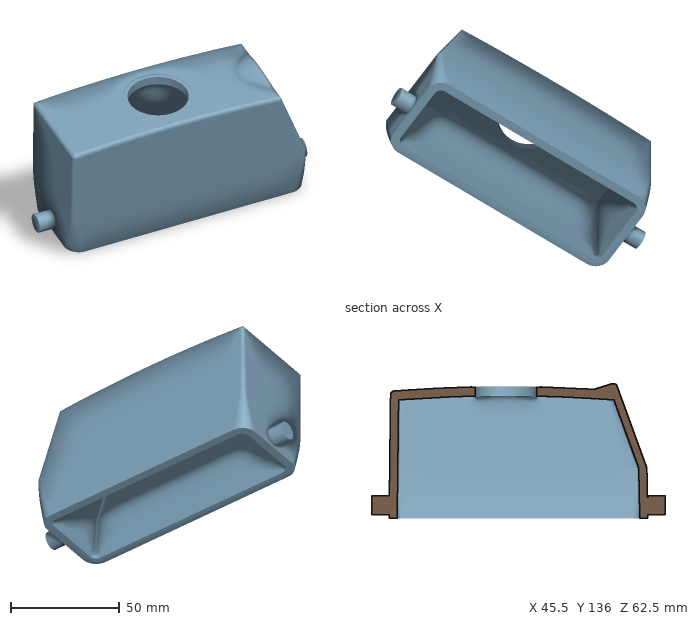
import cadquery as cq
import math

max_width = 45.5
rim_width = 42.8
rim_half_length = 60.0
shoulder_half_length = 59.5
shoulder_height = 23.3
flare_height = 7.0
front_draft_angle = 0.7
slope_angle = 20.0
rim_corner_radius = 7.4
shoulder_corner_radius = 2.0
top_corner_radius = 1.3
section_slab = 1.0
curve_sections = 5

crown_height = 61.15
crown_radius = 650.0
roof_fillet = 2.0
roof_edge_band = 5.0
loft_height = 63.2

wall_thickness = 4.0
roof_thickness = 4.5
least_corner_radius = 1.0

entry_y = -5.8
entry_diameter = 28.3
seat_diameter = 32.0
seat_depth = 0.3

pin_diameter = 9.0
pin_height = 6.1
pin_span = 136.0
pin_root = 2.0

total_height = 62.52
tab_radius = 28.0
tab_length = 14.0
tab_draft = -3.0
tab_edge_loss = 0.47
tab_root_fillet = 2.0

slope_rate = math.tan(math.radians(slope_angle))
draft_rate = math.tan(math.radians(front_draft_angle))


def inset_share(z):
    """Share of the rim inset at height z: a straight flare that runs into a parabola."""
    curve_span = shoulder_height - flare_height
    full_inset = curve_span / 2 + flare_height
    if z < flare_height:
        return (full_inset - z) / full_inset
    return (shoulder_height - z) ** 2 / (2 * curve_span) / full_inset


def section(z, wall, rounded=True):
    """Rectangular section at height z, moved inward by wall."""
    front = -rim_half_length + draft_rate * z + wall
    if z > shoulder_height:
        back = shoulder_half_length - slope_rate * (z - shoulder_height) - wall
        width = max_width
        share = (z - shoulder_height) / (loft_height - shoulder_height)
        radius = shoulder_corner_radius + share * (top_corner_radius - shoulder_corner_radius)
    else:
        back = rim_half_length - (rim_half_length - shoulder_half_length) * z / shoulder_height - wall
        share = inset_share(z)
        width = max_width - share * (max_width - rim_width)
        radius = shoulder_corner_radius + share * (rim_corner_radius - shoulder_corner_radius)
    slab = (
        cq.Workplane("XY", origin=(0, (front + back) / 2, z))
        .rect(width - 2 * wall, back - front)
        .extrude(section_slab)
    )
    if rounded:
        slab = slab.edges("|Z").fillet(max(radius - wall, least_corner_radius))
    return slab.faces("<Z").wires().val()


def loft(heights, wall, ruled=True, rounded=True):
    """Solid through the sections at the given heights."""
    wires = [section(z, wall, rounded) for z in heights]
    return cq.Workplane(cq.Solid.makeLoft(wires, ruled))


def crown(drop):
    """Long cylinder along X whose crest is the roof surface lowered by drop."""
    return (
        cq.Workplane("YZ", origin=(-max_width, entry_y, crown_height - drop - crown_radius))
        .circle(crown_radius)
        .extrude(2 * max_width)
    )


def lower_body(wall):
    """Flared part between the rim and the shoulder."""
    step = (shoulder_height - flare_height) / (curve_sections - 1)
    curve_heights = [flare_height + i * step for i in range(curve_sections)]
    flare = loft([0, flare_height], wall)
    return flare.union(loft(curve_heights, wall, ruled=False))


def thumb_tab():
    """Round tab, square to the sloped end wall and flush with it."""
    tilt = math.radians(slope_angle)
    top = total_height + tab_edge_loss
    face = cq.Plane(
        origin=(0, shoulder_half_length - slope_rate * (top - shoulder_height), top),
        xDir=(1, 0, 0),
        normal=(0, -math.cos(tilt), -math.sin(tilt)),
    )
    disc = cq.Workplane(face).center(0, -tab_radius).circle(tab_radius).extrude(tab_length, taper=tab_draft)
    buried_height = crown_height - roof_thickness
    above_cavity = (
        cq.Workplane("XY", origin=(0, 0, buried_height))
        .rect(2 * max_width, 2 * rim_half_length)
        .extrude(total_height)
    )
    return disc.intersect(above_cavity)


def upper_outside():
    """Upright part with the thumb tab, its roof rim and upright corners rounded."""
    heights = [shoulder_height, loft_height]
    body = loft(heights, 0, rounded=False).intersect(crown(0)).union(thumb_tab())
    roof_edges = cq.selectors.BoxSelector(
        (-max_width, -2 * rim_half_length, crown_height - roof_edge_band),
        (max_width, 2 * rim_half_length, total_height),
    )
    outer_walls = "<X or >X or <Y or >Y"
    rim_edges = body.faces(outer_walls).edges().vals()
    tab_root = [edge for edge in body.edges().vals() if edge not in rim_edges]
    body = body.newObject(tab_root).fillet(tab_root_fillet)
    body = body.faces(outer_walls).edges(roof_edges).fillet(roof_fillet)
    return body.intersect(loft(heights, 0))


def upper_cavity():
    """Space under the roof, above the shoulder."""
    return loft([shoulder_height, loft_height], wall_thickness).intersect(crown(roof_thickness))


def roof_cylinder(diameter, bottom):
    """Upright cylinder on the entry axis, from bottom to above the roof."""
    return (
        cq.Workplane("XY", origin=(0, entry_y, bottom))
        .circle(diameter / 2)
        .extrude(loft_height - bottom)
    )


def pin(side):
    """Locking pin on the end wall at side * Y."""
    root_y = rim_half_length - pin_root
    length = pin_span / 2 - root_y
    return (
        cq.Workplane("XZ", origin=(0, side * root_y, pin_height))
        .circle(pin_diameter / 2)
        .extrude(-side * length)
    )


hood = upper_outside().union(lower_body(0))
hood = hood.cut(upper_cavity()).cut(lower_body(wall_thickness))
hood = hood.cut(roof_cylinder(entry_diameter, shoulder_height))
hood = hood.cut(roof_cylinder(seat_diameter, crown_height - seat_depth))
for side in (1, -1):
    hood = hood.union(pin(side))

result = hood